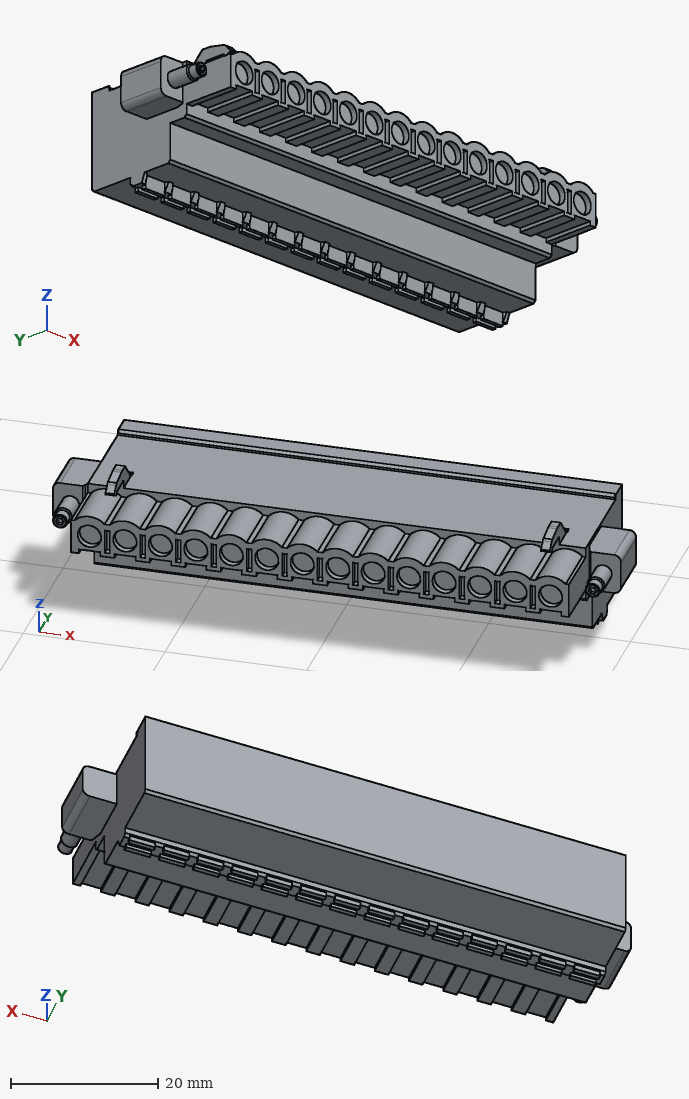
import cadquery as cq
import math


pole_count = 14
pitch = 5.0
row_length = pole_count * pitch
pole_positions = [(i - (pole_count - 1) / 2) * pitch for i in range(pole_count)]
gap_positions = [(i - pole_count / 2) * pitch for i in range(1, pole_count)]

end_wall = 0.1
housing_length = row_length + 2 * end_wall
back_y = 26.6
step_y = 23.3
step_chamfer = 0.4
front_y = 8.45
lower_front_y = 11.55
back_top_z = 16.7
top_z = 16.0
front_bottom_z = 7.8
bottom_z = 2.0
corner_chamfer = 0.4

axis_z = 12.53
arch_radius = 3.0
arch_half_angle = math.radians(45)
web_top_z = axis_z + arch_radius * math.cos(arch_half_angle)
plug_bottom_z = 9.7
bore_radius = 1.65
bore_depth = 1.0
slot_width = 0.7
slot_bottom_z = 10.3
slot_top_z = 13.7
notch_width = 3.0

overall_length = 80.1
flange_back_y = 16.1
flange_bottom_z = 9.7
flange_top_z = axis_z + arch_radius
flange_round = 1.0
relief_steps = [(0.72, 0), (0.48, 0.3), (0.25, 1.05), (0, 1.65)]
screw_x = 37.55
screw_radius = 1.22
screw_shoulder_y = 4.8
screw_neck_y = 4.6
screw_tip_radius = 1.0
screw_end_y = 3.05
screw_chamfer = 0.15
socket_width = 1.1
socket_depth = 0.6

hook_width = 1.25
hook_x = 30.7
hook_top_z = 19.0
hook_embed_z = 15.0
hook_slope = math.radians(45)
hook_slope_top_y = 9.2
hook_root_radius = 2.0
hook_root_y = 13.25
hook_root_z = 15.75
hook_underside_z = 17.15
hook_nose = [
    (7.95, hook_top_z),
    (7.45, 18.95),
    (5.06, 18.5),
    (4.75, 18.3),
    (3.85, 17.4),
    (3.85, 17.15),
    (4.9, 16.65),
    (5.2, hook_underside_z),
]

foot_back_y = 19.2
foot_front_y = 16.5
foot_bar_z = 0.6
foot_chamfer = 0.4
nub_length = 3.7
nub_width = 0.6
nub_front_y = 17.05
nub_back_y = 19.05
recess_mouth = 4.1


def box(x0, x1, y0, y1, z0, z1):
    """Box spanning the given X, Y and Z limits."""
    return cq.Workplane("XY").box(x1 - x0, y1 - y0, z1 - z0, centered=False).translate((x0, y0, z0))


def extrude_along_x(points, length):
    """Prism with a (Y, Z) outline, centred on X = 0."""
    return cq.Workplane("YZ").polyline(points).close().extrude(length / 2, both=True)


def make_housing():
    outline = [
        (back_y, back_top_z),
        (step_y, back_top_z),
        (step_y, top_z),
        (front_y, top_z),
        (front_y, front_bottom_z + corner_chamfer),
        (front_y + corner_chamfer, front_bottom_z),
        (lower_front_y, front_bottom_z),
        (lower_front_y, bottom_z + corner_chamfer),
        (lower_front_y + corner_chamfer, bottom_z),
        (back_y - corner_chamfer, bottom_z),
        (back_y, bottom_z + corner_chamfer),
    ]
    step_corner = [
        (step_y, back_top_z),
        (step_y + step_chamfer, back_top_z),
        (step_y, back_top_z - step_chamfer),
    ]
    return extrude_along_x(outline, housing_length).cut(extrude_along_x(step_corner, row_length))


def make_plug_row():
    half = housing_length / 2
    row = box(-half, half, 0, front_y, plug_bottom_z, web_top_z)
    for x in pole_positions:
        barrel = cq.Workplane("XZ", origin=(x, front_y, axis_z)).circle(arch_radius).extrude(front_y)
        above_web = box(x - pitch / 2, x + pitch / 2, 0, front_y, axis_z, axis_z + arch_radius)
        row = row.union(barrel.intersect(above_web))
    for x in pole_positions:
        bore = cq.Workplane("XZ", origin=(x, bore_depth, axis_z)).circle(bore_radius).extrude(bore_depth)
        half_notch = notch_width / 2
        notch = box(x - half_notch, x + half_notch, 0, front_y, plug_bottom_z, slot_bottom_z)
        row = row.cut(bore).cut(notch)
    for x in gap_positions:
        half_slot = slot_width / 2
        row = row.cut(box(x - half_slot, x + half_slot, 0, bore_depth, slot_bottom_z, slot_top_z))
    return row


def make_flange():
    """Flange and screw on the -X end."""
    inner_x = -housing_length / 2
    outer_x = -overall_length / 2
    flange = box(outer_x, inner_x, front_y, flange_back_y, flange_bottom_z, flange_top_z)
    flange = flange.edges("|Y and <X").fillet(flange_round)
    relief_outline = [(inner_x - gap, front_y + depth) for gap, depth in relief_steps]
    relief = (
        cq.Workplane("XY", origin=(0, 0, flange_bottom_z))
        .polyline([(inner_x, front_y)] + relief_outline)
        .close()
        .extrude(flange_top_z - flange_bottom_z)
    )
    screw = (
        cq.Workplane("XY")
        .polyline([
            (0, front_y),
            (screw_radius, front_y),
            (screw_radius, screw_shoulder_y),
            (screw_tip_radius, screw_neck_y),
            (screw_tip_radius, screw_end_y + screw_chamfer),
            (screw_tip_radius - screw_chamfer, screw_end_y),
            (0, screw_end_y),
        ])
        .close()
        .revolve(360, (0, 0, 0), (0, 1, 0))
        .translate((-screw_x, 0, axis_z))
    )
    socket = (
        cq.Workplane("XZ", origin=(-screw_x, screw_end_y + socket_depth, axis_z))
        .polygon(6, socket_width)
        .extrude(socket_depth)
    )
    return flange.cut(relief).union(screw).cut(socket)


def make_hook():
    """Latch hook centred on X = 0, rising from a curved root below the top face."""

    def root_point(angle):
        return (
            hook_root_y - hook_root_radius * math.sin(angle),
            hook_root_z + hook_root_radius * (1 - math.cos(angle)),
        )

    outline = (
        cq.Workplane("YZ")
        .moveTo(hook_root_y, hook_embed_z)
        .lineTo(hook_root_y, hook_root_z)
        .threePointArc(root_point(hook_slope / 2), root_point(hook_slope))
        .lineTo(hook_slope_top_y, hook_top_z)
    )
    for point in hook_nose:
        outline = outline.lineTo(*point)
    outline = outline.lineTo(front_y, hook_underside_z).lineTo(front_y, hook_embed_z).close()
    return outline.extrude(hook_width / 2, both=True)


def make_feet():
    bar_outline = [
        (foot_back_y, bottom_z),
        (foot_front_y, bottom_z),
        (nub_front_y, foot_bar_z),
        (foot_back_y - foot_chamfer, foot_bar_z),
        (foot_back_y, foot_bar_z + foot_chamfer),
    ]
    feet = extrude_along_x(bar_outline, housing_length)
    for x in pole_positions:
        recess = (
            cq.Workplane("XY", origin=(x, 0, 0))
            .polyline([
                (-recess_mouth / 2, foot_front_y),
                (recess_mouth / 2, foot_front_y),
                (nub_length / 2, nub_front_y),
                (-nub_length / 2, nub_front_y),
            ])
            .close()
            .extrude(bottom_z)
        )
        feet = feet.cut(recess)
        for y in (nub_front_y, nub_back_y - nub_width):
            feet = feet.union(box(x - nub_length / 2, x + nub_length / 2, y, y + nub_width, 0, bottom_z))
    return feet


def make_hook_pocket():
    """Pocket in the top face from which a hook rises, centred on X = 0."""
    half = hook_width / 2
    return box(-half, half, front_y, hook_root_y, hook_embed_z, top_z)


flange = make_flange()
hook = make_hook()
hook_pocket = make_hook_pocket()
result = make_housing().union(make_plug_row()).union(make_feet())
result = result.union(flange).union(flange.mirror("YZ"))
for side in (-1, 1):
    result = result.cut(hook_pocket.translate((side * hook_x, 0, 0)))
    result = result.union(hook.translate((side * hook_x, 0, 0)))